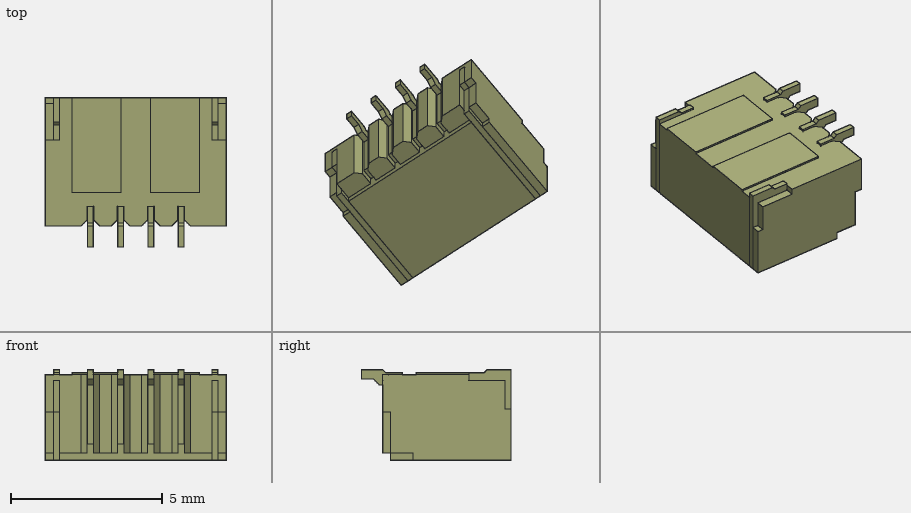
import cadquery as cq


width = 6.0
top_z = 2.84
depth = 4.25

pad_width = 1.62
pad_length = 3.14
pad_height = 0.06
pad_center_x = 1.295

pin_count = 4
pin_pitch = 1.0
pin_width = 0.2
pin_front_y = 0.26
pin_bottom_z = 0.545
overall_z = 3.0
tail_length = 0.7
tail_bottom_z = 2.68
knee_y = -0.3
knee_drop = 0.2

groove_width = 0.215
groove_depth = 0.655
groove_chamfer = 0.2

step_height = 0.24

tab_thickness = 0.2
tab_inset = 0.28
tab_shoulder_z = 2.635

back_recess_length = 1.4
back_recess_depth = 0.2
back_recess_floor_z = 1.705
front_notch_depth = 0.26
front_notch_height = 1.59
bottom_notch_length = 1.0

solder_ramp = 0.1
tab_solder_length = 0.8

solder_low_z = overall_z - solder_ramp
recess_width = tab_inset + tab_thickness
recess_front_y = depth - back_recess_length
tab_center_x = width / 2 - tab_inset - tab_thickness / 2
recess_center_x = width / 2 - recess_width / 2
pin_xs = [(i - (pin_count - 1) / 2) * pin_pitch for i in range(pin_count)]


def block(center_x, size_x, y_range, z_range):
    """Box centred on center_x that fills the given Y and Z ranges."""
    return (
        cq.Workplane("XY")
        .box(size_x, y_range[1] - y_range[0], z_range[1] - z_range[0], centered=(True, False, False))
        .translate((center_x, y_range[0], z_range[0]))
    )


def side_plate(outline, center_x, thickness):
    """Plate with a YZ outline, centred on center_x."""
    return (
        cq.Workplane("YZ")
        .polyline(outline)
        .close()
        .extrude(thickness / 2, both=True)
        .translate((center_x, 0, 0))
    )


def make_tab(center_x):
    """Tab with a solder foot at the top back and a relief at the bottom front."""
    outline = [
        (front_notch_depth, 0),
        (depth, 0),
        (depth, overall_z),
        (depth - tab_solder_length, overall_z),
        (depth - tab_solder_length - solder_ramp, solder_low_z),
        (recess_front_y, solder_low_z),
        (recess_front_y, tab_shoulder_z),
        (0, tab_shoulder_z),
        (0, front_notch_height),
        (front_notch_depth, front_notch_height),
    ]
    return side_plate(outline, center_x, tab_thickness)


def make_pin(center_x):
    """Pin with an upright leg in its groove and a tail reaching out to the front."""
    outline = [
        (groove_depth, pin_bottom_z),
        (groove_depth, solder_low_z),
        (solder_ramp, solder_low_z),
        (0, overall_z),
        (-tail_length, overall_z),
        (-tail_length, tail_bottom_z),
        (knee_y, tail_bottom_z),
        (knee_y + knee_drop, tail_bottom_z - knee_drop),
        (pin_front_y, tail_bottom_z - knee_drop),
        (pin_front_y, pin_bottom_z),
    ]
    return side_plate(outline, center_x, pin_width)


def pin_groove(center_x):
    """Full-height groove with chamfered front edges."""
    inner = groove_width / 2
    outer = inner + groove_chamfer
    outline = [
        (-outer, 0),
        (outer, 0),
        (inner, groove_chamfer),
        (inner, groove_depth),
        (-inner, groove_depth),
        (-inner, groove_chamfer),
    ]
    return cq.Workplane("XY").polyline(outline).close().extrude(top_z).translate((center_x, 0, 0))


def cut_end(body, side, tab):
    """Cut the recesses and the tab slot at one end; side is -1 or 1."""
    center_x = side * recess_center_x
    back_edge_y = depth - back_recess_depth
    back_top = block(center_x, recess_width, (recess_front_y, depth), (tab_shoulder_z, top_z))
    back_edge = block(center_x, recess_width, (back_edge_y, depth), (back_recess_floor_z, top_z))
    front_edge = block(center_x, recess_width, (0, front_notch_depth), (0, front_notch_height))
    bottom_edge = block(center_x, recess_width, (0, bottom_notch_length), (0, step_height))
    return body.cut(back_top).cut(back_edge).cut(front_edge).cut(bottom_edge).cut(tab)


def make_housing(tabs):
    """Housing with raised pads, a front bottom step, pin grooves and tab slots."""
    body = block(0, width, (0, depth), (0, top_z))
    for side in (-1, 1):
        pad = block(side * pad_center_x, pad_width, (depth - pad_length, depth), (0, top_z + pad_height))
        body = body.union(pad)
    body = body.cut(block(0, width, (0, groove_depth), (0, step_height)))
    for x in pin_xs:
        body = body.cut(pin_groove(x))
    for side, tab in tabs.items():
        body = cut_end(body, side, tab)
    return body


tabs = {side: make_tab(side * tab_center_x) for side in (-1, 1)}
pins = [make_pin(x) for x in pin_xs]
housing = make_housing(tabs)

result = cq.Compound.makeCompound(
    housing.solids().vals() + [tab.val() for tab in tabs.values()] + [pin.val() for pin in pins]
)